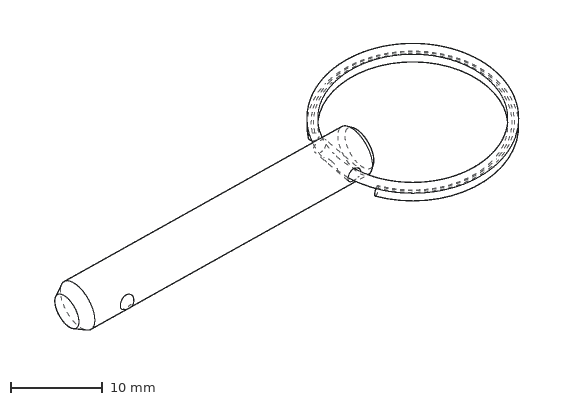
import cadquery as cq

total_length = 60.1
pin_diameter = 6.0
pin_length = 41.05
tip_diameter = 4.2
tip_length = 1.5
head_chamfer_length = 0.6
head_chamfer_depth = 0.5

ball_diameter = 2.05
ball_projection = 0.6
ball_from_tip = 6.0

ring_outer_diameter = 23.15
wire_diameter = 1.2
coil_overlap = 0.03
split_angle = 60.0

hole_diameter = 1.8
hole_overlap = 0.05

pin_radius = pin_diameter / 2
ring_radius = (ring_outer_diameter - wire_diameter) / 2
ring_center_y = total_length - ring_outer_diameter / 2
ring_low_y = ring_center_y - ring_outer_diameter / 2
coil_pitch = wire_diameter - coil_overlap


def make_pin():
    """Round pin with a tapered tip, a chamfered head and a cross hole for the ring."""
    outline = [
        (0, 0),
        (tip_diameter / 2, 0),
        (pin_radius, tip_length),
        (pin_radius, pin_length - head_chamfer_length),
        (pin_radius - head_chamfer_depth, pin_length),
        (0, pin_length),
    ]
    body = cq.Workplane("XY").polyline(outline).close().revolve(360, (0, 0), (0, 1))
    hole_y = ring_low_y + hole_overlap + hole_diameter / 2
    hole = (
        cq.Workplane("YZ")
        .center(hole_y, 0)
        .circle(hole_diameter / 2)
        .extrude(pin_radius, both=True)
    )
    return body.cut(hole)


def make_ball():
    """Locking ball that bulges from the +X side of the pin."""
    ball_x = pin_radius + ball_projection - ball_diameter / 2
    return cq.Workplane("XY").sphere(ball_diameter / 2).translate((ball_x, ball_from_tip, 0))


def make_coil(z, gap_angle):
    """Flat wire coil around Z, with a gap centred on its -Y side."""
    coil = (
        cq.Workplane("XZ")
        .center(ring_radius, 0)
        .circle(wire_diameter / 2)
        .revolve(360 - gap_angle, (-ring_radius, 0), (-ring_radius, 1))
    )
    return coil.rotate((0, 0, 0), (0, 0, 1), gap_angle / 2 - 90).translate((0, ring_center_y, z))


upper_coil = make_coil(0, 0)
lower_coil = make_coil(-coil_pitch, split_angle)

result = make_pin().union(make_ball()).union(upper_coil).union(lower_coil)